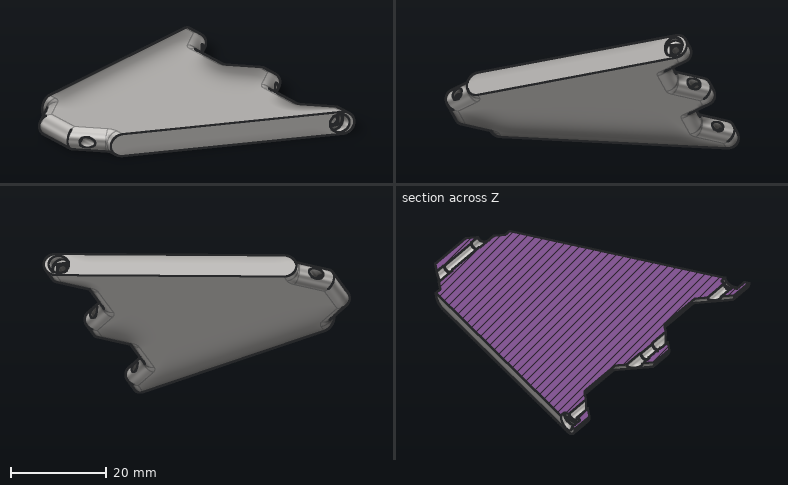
import cadquery as cq
import math

width = 60.0
length = 56.0
thickness = 5.0
edge_radius = thickness / 2

knuckle_depth = 5.9
centre_knuckle_half = 2.6
notch_floor = 10.5
inner_corner_radius = 0.5
end_knuckle_half = 5.3
narrow_half = 12.7

pin_inset = 3.0
pin_diameter = 2.0
flank_bore_diameter = 2.35
flank_bore_depth = 3.6
head_diameter = 4.0
head_seat_x = 27.2
step_depth = 0.3
step_width = 2.15
slot_length = 3.95

waste_margin = inner_corner_radius / 2
stock_extra = waste_margin / 2

y_wide = length / 2
y_narrow = -length / 2
y_notch = y_wide - knuckle_depth
y_shoulder = y_narrow + knuckle_depth

notch_inner = centre_knuckle_half + knuckle_depth
notch_outer = notch_inner + notch_floor
tip_inner = notch_outer + knuckle_depth
shoulder_inner = end_knuckle_half + knuckle_depth

wide_half = [
    (width / 2, y_wide),
    (tip_inner, y_wide),
    (notch_outer, y_notch),
    (notch_inner, y_notch),
    (centre_knuckle_half, y_wide),
]
narrow_half_path = [
    (narrow_half, y_shoulder),
    (shoulder_inner, y_shoulder),
    (end_knuckle_half, y_narrow),
]


def mirrored(points):
    """The same points on the -X side, in reverse order."""
    return [(-x, y) for x, y in reversed(points)]


wide_path = wide_half + mirrored(wide_half)
narrow_path = mirrored(narrow_half_path[::-1]) + narrow_half_path[::-1]

rounded_narrow_path = [(-width / 2, y_shoulder)] + narrow_path[1:-1] + [(width / 2, y_shoulder)]

fillet_run = inner_corner_radius * math.tan(math.radians(22.5))
inner_corner_x = (notch_inner, notch_outer, shoulder_inner)


def edge_path(points):
    """Path through the points, with its re-entrant corners filleted."""
    sketch = cq.Workplane("XY").moveTo(*points[0])
    for before, corner, after in zip(points, points[1:], points[2:]):
        if abs(corner[0]) in inner_corner_x:
            vertex = cq.Vector(*corner)
            toward_start = (cq.Vector(*before) - vertex).normalized() * fillet_run
            toward_end = (cq.Vector(*after) - vertex).normalized() * fillet_run
            arc_start = vertex + toward_start
            arc_end = vertex + toward_end
            sketch = sketch.lineTo(arc_start.x, arc_start.y)
            sketch = sketch.tangentArcPoint((arc_end.x, arc_end.y), relative=False)
        else:
            sketch = sketch.lineTo(*corner)
    return sketch.lineTo(*points[-1])


def round_edge(body, points):
    """Give the edge along the points, which starts toward -X or +X, a full round."""
    start = points[0]
    heading = math.copysign(1, points[1][0] - start[0])
    plane = cq.Plane(origin=(*start, 0), xDir=(0, heading, 0), normal=(heading, 0, 0))
    path = edge_path(points)
    waste = (
        cq.Workplane(plane)
        .moveTo(-waste_margin, -edge_radius)
        .lineTo(edge_radius, -edge_radius)
        .threePointArc((0, 0), (edge_radius, edge_radius))
        .lineTo(-waste_margin, edge_radius)
        .close()
        .sweep(path, transition="right")
    )
    return body.cut(waste)


def pin_hole(body, y):
    """Drill the full width along X."""
    drill = cq.Workplane("YZ", origin=(-width / 2, y, 0)).circle(pin_diameter / 2).extrude(width)
    return body.cut(drill)


def flank_bore(body, y, start_x, end_x):
    """Widen the pin hole between two X positions."""
    bore = cq.Workplane("YZ", origin=(start_x, y, 0)).circle(flank_bore_diameter / 2)
    return body.cut(bore.extrude(end_x - start_x))


def head_recess(body, y, side):
    """Recess for the pin head, stepped to a slot and then a square; side is +1 or -1."""
    seat = cq.Workplane("YZ", origin=(side * head_seat_x, y, 0))
    head = seat.circle(head_diameter / 2).extrude(side * (width / 2 - head_seat_x))
    disc = seat.circle(slot_length / 2).extrude(-side * step_depth)
    slot = disc.intersect(seat.rect(slot_length, step_width).extrude(-side * step_depth))
    square = seat.rect(step_width, step_width).extrude(-side * 2 * step_depth)
    return body.cut(head).cut(slot).cut(square)


stock_outline = (
    [wide_path[0]]
    + [(x, y + stock_extra) for x, y in wide_path]
    + [wide_path[-1], narrow_path[0]]
    + [(x, y - stock_extra) for x, y in narrow_path]
    + [narrow_path[-1]]
)
stock_base = cq.Workplane("XY", origin=(0, 0, -edge_radius))
body = stock_base.polyline(stock_outline).close().extrude(thickness)
for points in (wide_path, rounded_narrow_path):
    body = round_edge(body, points)

wide_pin_y = y_wide - pin_inset
narrow_pin_y = y_narrow + pin_inset

wide_bore_start = centre_knuckle_half + pin_inset - flank_bore_depth
narrow_bore_start = end_knuckle_half + pin_inset - flank_bore_depth

for y in (wide_pin_y, narrow_pin_y):
    body = pin_hole(body, y)
for side in (1, -1):
    body = flank_bore(body, wide_pin_y, side * wide_bore_start, side * notch_outer)
    body = flank_bore(body, narrow_pin_y, side * narrow_bore_start, side * width / 2)
    body = head_recess(body, wide_pin_y, side)

result = body